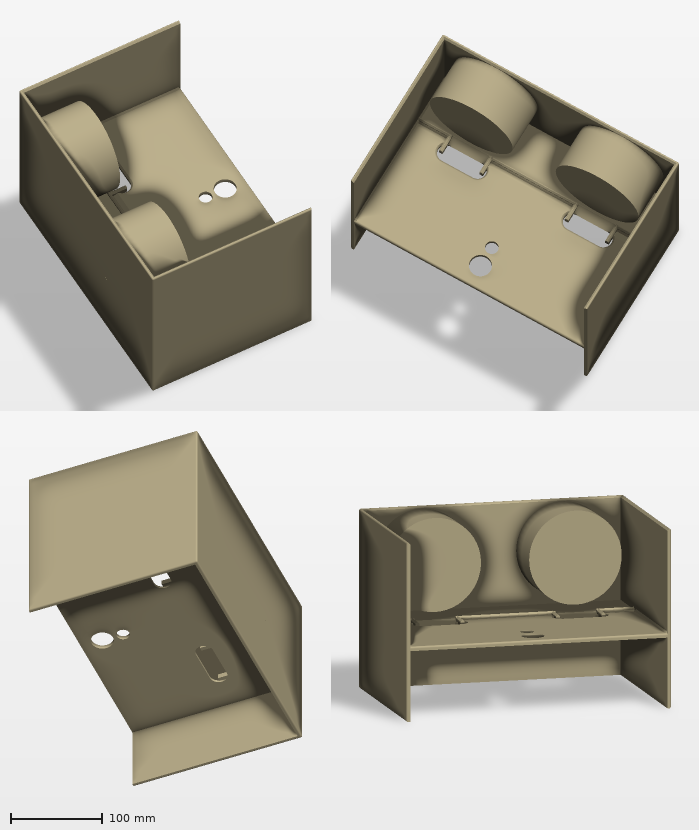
import cadquery as cq

width = 300.0
depth = 200.0
height = 200.0
wall = 4.2
edge = 2.0
outer_round = 1.8
inner_half_width = width / 2 - wall

floor_top = 83.7
floor_thickness = 4.8
floor_bottom = floor_top - floor_thickness
round_holes = [(175.0, 25.2), (150.3, 15.0)]

station_x = 79.8
drum_radius = 52.5
drum_z = 144.5
drum_end = 58.5

slot_length = 60.0
slot_width = 20.0
slot_y = 79.0

lip_height = 3.0
lip_ridge = 60.0
lip_back = 61.8
groove_bottom = 64.0
groove_back = 69.0
groove_depth = 2.5
lead_in_back = 71.5
lead_in_front = 68.0

rail_span = 55.8
rail_thickness = 4.5
rail_end = 81.0

nick_x = 44.7
nick_length = 5.5
nick_height = 0.3
nick_depth = 0.5


def box(x_min, x_max, y_min, y_max, z_min, z_max):
    size = (x_max - x_min, y_max - y_min, z_max - z_min)
    return cq.Workplane("XY").box(*size, centered=False).translate((x_min, y_min, z_min))


def across(points, x_min, x_max):
    """Extrude a (Y, Z) outline along X."""
    return cq.Workplane("YZ", origin=(x_min, 0, 0)).polyline(points).close().extrude(x_max - x_min)


def make_walls():
    outside = box(-width / 2, width / 2, 0, depth, 0, height)
    outside = outside.faces("<X or >X or <Y").edges().fillet(outer_round)
    inside = box(-inner_half_width, inner_half_width, wall, depth, 0, height)
    walls = outside.cut(inside)
    rim_flare = (
        cq.Workplane("XY", origin=(0, depth, height - edge))
        .rect(2 * inner_half_width, 2 * (depth - wall))
        .workplane(offset=edge)
        .rect(2 * (inner_half_width + edge), 2 * (depth - wall + edge))
        .loft(ruled=True)
    )
    return walls.cut(rim_flare)


def make_floor():
    floor = box(-inner_half_width, inner_half_width, wall, depth, floor_bottom, floor_top)
    floor = floor.edges(">Y and >Z").fillet(edge)
    for side, joint_start in [(-1, groove_back), (1, wall)]:
        x = side * inner_half_width
        joint = (
            cq.Workplane("XZ", origin=(0, joint_start, 0))
            .polyline([(x, floor_top), (x, floor_top + edge), (x - side * edge, floor_top)])
            .close()
            .extrude(joint_start - depth + edge)
        )
        floor = floor.union(joint)
    for y, diameter in round_holes:
        hole = cq.Workplane("XY", origin=(0, y, floor_bottom)).circle(diameter / 2)
        floor = floor.cut(hole.extrude(floor_thickness))
    return floor


def shape_lip(floor):
    groove = [
        (lip_back, floor_top),
        (groove_bottom, floor_top - groove_depth),
        (groove_back, floor_top),
    ]
    ridge_top = floor_top + lip_height
    lip = [
        (drum_end, floor_bottom),
        (drum_end, ridge_top - (lip_ridge - drum_end)),
        (lip_ridge, ridge_top),
        (lip_back, ridge_top - (lip_back - lip_ridge)),
        (lip_back, floor_bottom),
    ]
    groove_slope = groove_depth / (groove_back - groove_bottom)
    lead_in = [
        (lead_in_back, floor_top),
        (lead_in_front, floor_top - groove_slope * (groove_back - lead_in_front)),
        (lead_in_front, floor_top),
    ]
    lead_in_end = -station_x - rail_span / 2
    floor = floor.cut(across(groove, -inner_half_width, inner_half_width))
    floor = floor.cut(across(lead_in, -inner_half_width, lead_in_end))
    return floor.union(across(lip, -inner_half_width, inner_half_width))


def cut_slot(floor, x):
    slot = (
        cq.Workplane("XY", origin=(x, slot_y, floor_bottom))
        .slot2D(slot_length, slot_width)
        .extrude(floor_thickness)
    )
    mouth = (
        cq.Workplane("XY", origin=(x, slot_y, floor_top))
        .slot2D(slot_length + 2 * edge, slot_width + 2 * edge)
        .extrude(-edge, taper=45)
    )
    return floor.cut(slot).cut(mouth)


def add_ramp_and_rails(floor, x):
    ramp_half_width = rail_span / 2 - rail_thickness
    ramp_end = slot_y - slot_width / 2
    ridge_top = floor_top + lip_height
    gap = box(x - ramp_half_width, x + ramp_half_width, drum_end, ramp_end, floor_bottom, ridge_top)
    ramp = [(drum_end, floor_bottom), (drum_end, floor_top), (ramp_end, floor_bottom)]
    floor = floor.cut(gap).union(across(ramp, x - ramp_half_width, x + ramp_half_width))
    for side in (-1, 1):
        rail_x = x + side * (rail_span - rail_thickness) / 2
        rail = box(
            rail_x - rail_thickness / 2, rail_x + rail_thickness / 2,
            drum_end, rail_end, floor_bottom, ridge_top,
        )
        floor = floor.union(rail.edges("|Y and >Z").chamfer(edge))
    return floor


def make_drum(x):
    length = drum_end - wall / 2
    return cq.Workplane("XZ", origin=(x, drum_end, drum_z)).circle(drum_radius).extrude(length)


floor = shape_lip(make_floor())
for x in (-station_x, station_x):
    floor = add_ramp_and_rails(cut_slot(floor, x), x)

result = make_walls().union(floor)
for x in (-station_x, station_x):
    result = result.union(make_drum(x))

nick = box(
    nick_x - nick_length / 2, nick_x + nick_length / 2,
    0, nick_depth, floor_top - nick_height / 2, floor_top + nick_height / 2,
)
result = result.cut(nick)